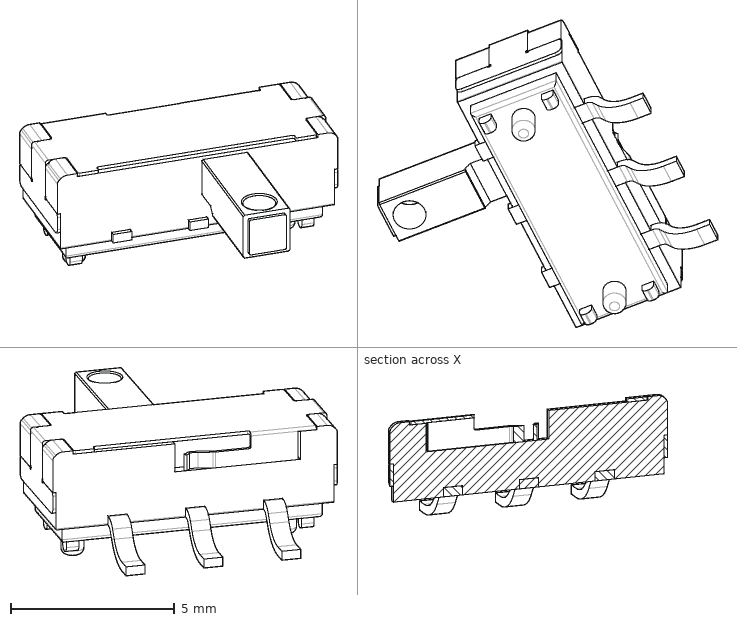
import cadquery as cq
import math


housing_width = 3.53
housing_length = 9.1
housing_top = 3.11
body_bottom = 0.58
body_lip_height = 0.04
body_lip_inset = 0.01
sheet = 0.1
body_length = housing_length - 2 * sheet
body_top = housing_top - sheet
half_width = housing_width / 2
half_length = housing_length / 2

stem_width = 1.28
notch_depth = 0.67
notch_corner_radius = 0.09
plate_length = housing_length - 2 * notch_depth
fold_radius = 0.095
bar_top = 1.805
bar_bottom = 1.08
bar_top_radius = 0.11
bar_bottom_radius = 0.19
relief_radius = 0.06
slot_width = 0.21
plate_corner_radius = 0.05
slot_end_y = 3.2

arm_root_y = -3.3
arm_step_y = -1.79
arm_bottom = 2.09
arm_top = 2.6
arm_step_radius = 0.07
bump_start_y = -0.61
bump_depth = 0.13
bump_low_y = -0.12
bump_high_y = 0.13
bump_crown = 0.02
bump_bend_radius = 0.27
tip_y = 0.27
tip_angle = 45.0
bend_shift = 0.03

plinth_width = 2.88
plinth_length = 8.33
plinth_edge_radius = 0.12
post_gap = 0.03
post_bevel = 0.19
post_top_radius = 0.32
post_side_radius = 0.16
wall = 0.36
window_low_y = -3.36
window_high_y = 0.65
peg_diameter = 0.71
peg_length = 0.89
peg_radius = 0.2
peg_y = 3.4
foot_size = 0.4
foot_radius = 0.18
foot_x = 1.045
foot_y = 3.76

terminal_pitch = 2.49
terminal_width = 0.61
terminal_thickness = 0.29
terminal_tip_x = 1.91
terminal_end_x = -3.74
terminal_bend_x = -1.82
terminal_foot_bottom = -foot_size
bend_angle = 57.0
upper_bend_radius = 0.55
lower_bend_radius = 1.01

lever_width = 1.52
lever_y = 0.89
lever_bottom = 1.4
lever_top = 2.89
lever_end_x = 5.64
lever_edge = 0.05
neck_bottom = 1.69
neck_end_x = 2.57
neck_ramp = 0.18
nub_size = 1.21
nub_length = 0.11
nub_corner_radius = 0.06
hole_diameter = 1.01
hole_chamfer = 0.05
hole_x = 4.96


def block(x_range, y_range, z_range):
    """Box given by its limits along each axis."""
    size = [high - low for low, high in (x_range, y_range, z_range)]
    corner = (x_range[0], y_range[0], z_range[0])
    return cq.Workplane("XY").box(*size, centered=False).translate(corner)


def make_top_plate():
    """Rounded sheet with a slot along each long edge and a fold above the spring arm."""
    plate = cq.Workplane("XY").workplane(offset=body_top).rect(housing_width, plate_length).extrude(sheet)

    slot_x = half_width - slot_width
    plate = plate.cut(block((-half_width, -slot_x), (arm_step_y, slot_end_y), (body_top, housing_top)))
    plate = plate.cut(block((slot_x, half_width), (-slot_end_y, slot_end_y), (body_top, housing_top)))
    plate = plate.edges("|Z").fillet(plate_corner_radius)

    fold = block((-half_width, -slot_x), (-plate_length / 2, arm_step_y), (body_top, housing_top))
    return plate.cut(fold).union(fold.edges("<X and >Z").fillet(fold_radius))


def make_end_tab():
    """T-shaped tab bent down over the +Y end, with its strip of top sheet."""
    tab_y = half_length - sheet
    half_stem = stem_width / 2
    plate_end = plate_length / 2

    bar = block((-half_width, half_width), (tab_y, half_length), (bar_bottom, bar_top))
    bar = bar.edges("|Y and <Z").fillet(bar_bottom_radius)
    bar = bar.edges("|Y and >Z").fillet(bar_top_radius)

    strip = block((-half_stem, half_stem), (plate_end, half_length), (body_top, housing_top))
    stem = block((-half_stem, half_stem), (tab_y, half_length), (bar_top, housing_top))
    bent = strip.union(stem).edges(">Y and >Z").fillet(fold_radius)

    tab = bent.union(bar)
    reliefs = (
        cq.Workplane("XZ", origin=(0, half_length, 0))
        .pushPoints([(-half_stem, bar_top), (half_stem, bar_top)])
        .circle(relief_radius)
        .extrude(sheet)
    )
    return tab.cut(reliefs)


def make_spring_arm():
    """Leg hanging from the -X fold, ending in an arm with an inward bump."""
    outer = -half_width
    inner = outer + sheet
    crown_y = (bump_low_y + bump_high_y) / 2
    peak = outer + bump_depth
    tip_turn = math.radians(tip_angle)
    arm = (
        cq.Workplane("XY", origin=(0, 0, arm_bottom))
        .moveTo(outer, arm_root_y)
        .lineTo(outer, bump_start_y)
        .lineTo(peak, bump_low_y)
        .threePointArc((peak + bump_crown, crown_y), (peak, bump_high_y))
        .lineTo(outer, tip_y)
        .lineTo(outer + sheet * math.cos(tip_turn), tip_y + sheet * math.sin(tip_turn))
        .lineTo(peak + sheet, bump_high_y + bend_shift)
        .threePointArc((peak + sheet + bump_crown, crown_y), (peak + sheet, bump_low_y))
        .lineTo(inner, bump_start_y + bend_shift)
        .lineTo(inner, arm_root_y)
        .close()
        .extrude(arm_top - arm_bottom)
    )
    bends = cq.selectors.BoxSelector(
        (outer - sheet, bump_start_y - sheet, arm_bottom),
        (inner + sheet, bump_start_y + sheet, arm_top),
    )
    arm = arm.edges("|Z").edges(bends).fillet(bump_bend_radius)

    leg = block((outer, inner), (arm_root_y, arm_step_y), (arm_bottom, housing_top - fold_radius))
    step_corner = cq.selectors.NearestToPointSelector(((outer + inner) / 2, arm_step_y, arm_top))
    return arm.union(leg).edges(step_corner).fillet(arm_step_radius)


def make_cover():
    """Top plate with its two end tabs, rounded notch corners and spring arm."""
    end_tab = make_end_tab()
    cover = make_top_plate().union(end_tab).union(end_tab.mirror("XZ"))
    for x in (-stem_width / 2, stem_width / 2):
        for y in (-plate_length / 2, plate_length / 2):
            notch_corner = cq.selectors.NearestToPointSelector((x, y, housing_top - sheet / 2))
            cover = cover.edges("|Z").edges(notch_corner).fillet(notch_corner_radius)
    return cover.union(make_spring_arm())


def make_terminal():
    """Flat strip through the base, bent down to a solder foot on the -X side."""
    turn = math.radians(bend_angle)
    top = body_bottom + terminal_thickness
    foot_top = terminal_foot_bottom + terminal_thickness
    inner_upper_radius = upper_bend_radius - terminal_thickness
    outer_lower_radius = lower_bend_radius + terminal_thickness

    arcs_drop = (upper_bend_radius + lower_bend_radius) * (1 - math.cos(turn))
    straight_run = (top - foot_top - arcs_drop) / math.tan(turn)
    arcs_run = (upper_bend_radius + lower_bend_radius) * math.sin(turn)
    foot_bend_x = terminal_bend_x - arcs_run - straight_run

    def on_upper_bend(radius, angle):
        center_z = top - upper_bend_radius
        return (terminal_bend_x - radius * math.sin(angle), center_z + radius * math.cos(angle))

    def on_lower_bend(radius, angle):
        center_z = foot_top + lower_bend_radius
        return (foot_bend_x + radius * math.sin(angle), center_z - radius * math.cos(angle))

    return (
        cq.Workplane("XZ", origin=(0, terminal_width / 2, 0))
        .moveTo(terminal_tip_x, body_bottom)
        .lineTo(terminal_tip_x, top)
        .lineTo(terminal_bend_x, top)
        .threePointArc(on_upper_bend(upper_bend_radius, turn / 2), on_upper_bend(upper_bend_radius, turn))
        .lineTo(*on_lower_bend(lower_bend_radius, turn))
        .threePointArc(on_lower_bend(lower_bend_radius, turn / 2), (foot_bend_x, foot_top))
        .lineTo(terminal_end_x, foot_top)
        .lineTo(terminal_end_x, terminal_foot_bottom)
        .lineTo(foot_bend_x, terminal_foot_bottom)
        .threePointArc(on_lower_bend(outer_lower_radius, turn / 2), on_lower_bend(outer_lower_radius, turn))
        .lineTo(*on_upper_bend(inner_upper_radius, turn))
        .threePointArc(on_upper_bend(inner_upper_radius, turn / 2), (terminal_bend_x, body_bottom))
        .close()
        .extrude(terminal_width)
    )


def make_slider():
    """Lever whose inner end is seated in the +X wall of the base."""
    seat_x = half_width - wall
    low_y = lever_y - lever_width / 2
    high_y = lever_y + lever_width / 2
    ramp_end_x = neck_end_x + neck_ramp

    lever = block((seat_x, lever_end_x), (low_y, high_y), (lever_bottom, lever_top))
    lever = lever.edges("|X").chamfer(lever_edge)
    neck_relief = (
        cq.Workplane("XZ", origin=(0, high_y, 0))
        .moveTo(seat_x, lever_bottom)
        .lineTo(seat_x, neck_bottom)
        .lineTo(neck_end_x, neck_bottom)
        .lineTo(ramp_end_x, neck_bottom - neck_ramp)
        .lineTo(ramp_end_x, lever_bottom)
        .close()
        .extrude(lever_width)
    )
    lever = lever.cut(neck_relief)

    nub_z = (lever_bottom + lever_top) / 2
    nub = cq.Workplane("YZ", origin=(lever_end_x, lever_y, nub_z))
    nub = nub.rect(nub_size, nub_size).extrude(nub_length)
    lever = lever.union(nub.edges("|X").fillet(nub_corner_radius))

    hole = (
        cq.Workplane("XY", origin=(hole_x, lever_y, lever_bottom))
        .circle(hole_diameter / 2)
        .extrude(lever_top - lever_bottom)
    )
    rim = (
        cq.Workplane("XY", origin=(hole_x, lever_y, lever_top - hole_chamfer))
        .circle(hole_diameter / 2)
        .workplane(offset=hole_chamfer)
        .circle(hole_diameter / 2 + hole_chamfer)
        .loft()
    )
    return lever.cut(hole).cut(rim)


def make_corner_post():
    """Raised bevelled post that fills the cover notch at the +X +Y corner."""
    post = block(
        (stem_width / 2, half_width),
        (plate_length / 2 + post_gap, half_length),
        (bar_top, housing_top),
    )
    post = post.edges("|Z and <X and <Y").fillet(notch_corner_radius)
    post = post.edges(">Y and >Z").chamfer(post_bevel)
    post = post.faces(">Z").edges(">Y").fillet(post_top_radius)
    return post.faces(">Y").edges(">Z").fillet(post_side_radius)


def make_base(seated_bodies):
    """Block on a plinth, with pegs, feet and recesses for the bodies it holds."""
    lip_top = body_bottom + body_lip_height
    base = block(
        (-half_width, half_width),
        (-body_length / 2, body_length / 2),
        (body_bottom, body_top),
    )
    base = base.faces("<Z").chamfer(body_lip_height, body_lip_inset)

    window = block((-half_width, -half_width + wall), (window_low_y, window_high_y), (arm_bottom, body_top))
    base = base.cut(window)

    plinth = cq.Workplane("XY").rect(plinth_width, plinth_length).extrude(lip_top)
    base = base.union(plinth.faces("<Z").edges().fillet(plinth_edge_radius))

    post = make_corner_post()
    for end_post in (post, post.mirror("YZ")):
        base = base.union(end_post).union(end_post.mirror("XZ"))

    peg = cq.Workplane("XY").circle(peg_diameter / 2).extrude(-peg_length)
    peg = peg.faces("<Z").edges().fillet(peg_radius)
    foot = cq.Workplane("XY").rect(foot_size, foot_size).extrude(-foot_size)
    foot = foot.edges("|Y and <Z").fillet(foot_radius)
    for side in (-1, 1):
        base = base.union(peg.translate((0, side * peg_y, 0)))
        for foot_side in (-1, 1):
            base = base.union(foot.translate((foot_side * foot_x, side * foot_y, 0)))

    for body in seated_bodies:
        base = base.cut(body)
    return base


cover = make_cover()
slider = make_slider()
terminal = make_terminal()
terminals = [terminal.translate((0, step * terminal_pitch, 0)) for step in (-1, 0, 1)]
base = make_base([cover, slider, *terminals])

result = cq.Compound.makeCompound(
    [base.val(), cover.val(), slider.val(), *[body.val() for body in terminals]]
)